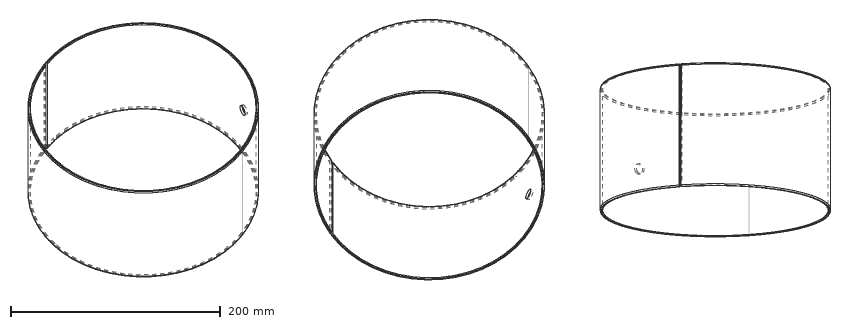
import cadquery as cq
import math

outer_diameter = 220.0
height = 120.0
wall_thickness = 2.5

outer_bevel_height = 1.5
outer_bevel_angle = 20.0

inner_chamfer = 0.8

slit_width = 2.0

hole_diameter = 10.0
hole_angle = 59.0

outer_radius = outer_diameter / 2
inner_radius = outer_radius - wall_thickness
outer_bevel_width = outer_bevel_height * math.tan(math.radians(outer_bevel_angle))


def make_ring():
    """Thin sleeve revolved from its wall section, with all four rim edges broken."""
    section = [
        (inner_radius, inner_chamfer),
        (inner_radius + inner_chamfer, 0),
        (outer_radius - outer_bevel_width, 0),
        (outer_radius, outer_bevel_height),
        (outer_radius, height - outer_bevel_height),
        (outer_radius - outer_bevel_width, height),
        (inner_radius + inner_chamfer, height),
        (inner_radius, height - inner_chamfer),
    ]
    return cq.Workplane("XZ").polyline(section).close().revolve(360, (0, 0, 0), (0, 1, 0))


def make_slit():
    """Full-height cutter that crosses the wall on the -X side only."""
    cutter = cq.Workplane("XY").box(outer_radius, slit_width, height, centered=False)
    return cutter.translate((-outer_radius, 0, 0))


def make_hole():
    """Radial pin from the ring axis out to past the wall, at mid height."""
    pin_plane = cq.Workplane("YZ", origin=(0, 0, height / 2))
    pin = pin_plane.circle(hole_diameter / 2).extrude(outer_diameter)
    return pin.rotate((0, 0, 0), (0, 0, 1), hole_angle)


result = make_ring().cut(make_slit()).cut(make_hole())